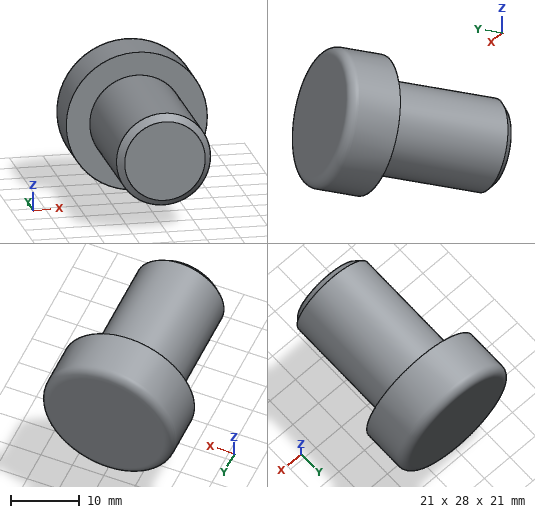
import cadquery as cq

total_length = 28.0
head_diameter = 21.0
head_length = 8.0
head_edge_radius = 1.4
shank_diameter = 14.0
shank_chamfer = 1.0

shank_length = total_length - head_length
shank_end_y = -total_length / 2
shoulder_y = shank_end_y + shank_length


def cylinder_along_y(diameter, start_y, length):
    """Solid cylinder on the Y axis, running from start_y toward +Y."""
    plane = cq.Plane(origin=(0, start_y, 0), xDir=(1, 0, 0), normal=(0, 1, 0))
    return cq.Workplane(plane).circle(diameter / 2).extrude(length)


shank = cylinder_along_y(shank_diameter, shank_end_y, shank_length)
shank = shank.faces("<Y").edges().chamfer(shank_chamfer)

head = cylinder_along_y(head_diameter, shoulder_y, head_length)
head = head.faces(">Y").edges().fillet(head_edge_radius)

result = head.union(shank)